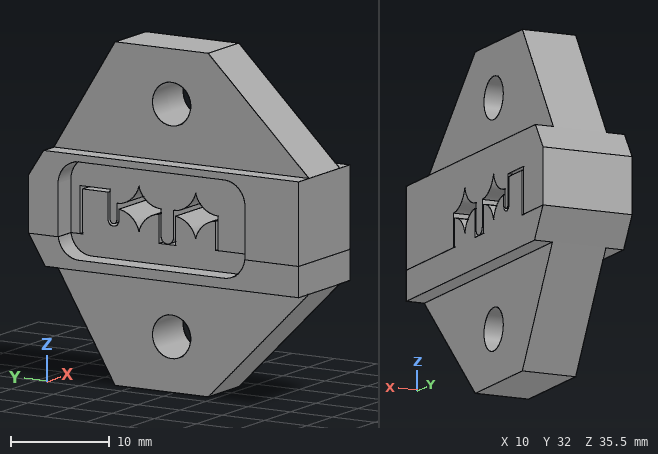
import cadquery as cq


block_width = 10.0
tab_width = 6.0
block_length = 32.0
block_top = 8.75
block_bottom = -3.23
overall_height = 35.5
upper_tab_top = 20.38
lower_tab_bottom = upper_tab_top - overall_height
upper_chamfer_start = 6.05
upper_shoulder = 30.2
lower_shoulder = 30.0
tab_end_front = 11.93
tab_end_back = 22.97

hole_diameter = 4.5
hole_y = 16.25
upper_hole_z = 14.65
lower_hole_z = -9.37

recess_front = 6.35
recess_back = 28.47
recess_bottom = -2.15
recess_top = 8.0
recess_radius = 2.5
recess_depth = 2.5

star_pitch = 6.7
front_star_y = 13.7
back_star_y = front_star_y + star_pitch
star_z = 3.3
star_half_height = 2.35
star_corner_rise = 0.3
star_arc_radius = 2.77
upper_star_half_width = 2.63
side_clearance = 0.25
lower_star_half_width = upper_star_half_width - side_clearance

socket_back = 27.4
socket_front = 23.82
socket_roof = 4.97
post_clearance = 0.32
post_back = socket_back - post_clearance
post_front = socket_front + side_clearance
post_top = socket_roof - post_clearance

back_finger_center_z = 1.85

finger_tip_clearance = 0.05


def extrude_centred(sketch, width):
    """Extrude a YZ sketch symmetrically about X = 0."""
    return sketch.extrude(width / 2, both=True)


def polygon_plate(points, width):
    return extrude_centred(cq.Workplane("YZ").polyline(points).close(), width)


def mounting_hole(z):
    return extrude_centred(cq.Workplane("YZ").center(hole_y, z).circle(hole_diameter / 2), block_width)


def recess():
    length = recess_back - recess_front
    height = recess_top - recess_bottom
    return (
        cq.Workplane("YZ", origin=(-block_width / 2, 0, 0))
        .center((recess_front + recess_back) / 2, (recess_bottom + recess_top) / 2)
        .rect(length, height)
        .extrude(recess_depth)
        .edges("|X")
        .fillet(recess_radius)
    )


def add_star_half(path, star_y, half_width, side):
    """Add two concave arcs from back to front: side +1 is the upper half, -1 the lower half."""
    corner_z = star_z + side * star_corner_rise
    cusp_z = star_z + side * star_half_height
    bulge = side * star_arc_radius
    return (
        path.lineTo(star_y + half_width, corner_z)
        .radiusArc((star_y, cusp_z), bulge)
        .radiusArc((star_y - half_width, corner_z), bulge)
    )


def upper_cavity():
    """Opening in the upper die, bounded by its socket, fingers and upper star halves."""
    back_finger_front = back_star_y + upper_star_half_width
    back_finger_radius = (socket_front - back_finger_front) / 2
    front_finger_back = back_star_y - upper_star_half_width
    front_finger_front = front_star_y + upper_star_half_width
    front_finger_radius = (front_finger_back - front_finger_front) / 2
    front_finger_center_z = finger_tip_clearance + front_finger_radius
    path = (
        cq.Workplane("YZ")
        .moveTo(socket_back, 0)
        .lineTo(socket_back, socket_roof)
        .lineTo(socket_front, socket_roof)
        .lineTo(socket_front, back_finger_center_z)
        .threePointArc(
            (socket_front - back_finger_radius, back_finger_center_z - back_finger_radius),
            (back_finger_front, back_finger_center_z),
        )
    )
    path = add_star_half(path, back_star_y, upper_star_half_width, 1)
    path = path.lineTo(front_finger_back, front_finger_center_z).threePointArc(
        (front_finger_back - front_finger_radius, finger_tip_clearance),
        (front_finger_front, front_finger_center_z),
    )
    path = add_star_half(path, front_star_y, upper_star_half_width, 1)
    path = path.lineTo(front_star_y - upper_star_half_width, 0).close()
    return extrude_centred(path, block_width)


def back_punch():
    """Guide post and back lower star half, separated by a round-bottomed slot."""
    slot_front = back_star_y + lower_star_half_width
    slot_radius = (post_front - slot_front) / 2
    path = (
        cq.Workplane("YZ")
        .moveTo(post_back, block_bottom)
        .lineTo(post_back, post_top)
        .lineTo(post_front, post_top)
        .lineTo(post_front, back_finger_center_z)
        .threePointArc(
            (post_front - slot_radius, back_finger_center_z - slot_radius),
            (slot_front, back_finger_center_z),
        )
    )
    path = add_star_half(path, back_star_y, lower_star_half_width, -1)
    path = path.lineTo(back_star_y - lower_star_half_width, block_bottom).close()
    return extrude_centred(path, block_width)


def front_punch():
    """Front lower star half."""
    path = cq.Workplane("YZ").moveTo(front_star_y + lower_star_half_width, block_bottom)
    path = add_star_half(path, front_star_y, lower_star_half_width, -1)
    path = path.lineTo(front_star_y - lower_star_half_width, block_bottom).close()
    return extrude_centred(path, block_width)


def make_upper_die():
    block = polygon_plate(
        [
            (0, 0),
            (block_length, 0),
            (block_length, upper_chamfer_start),
            (upper_shoulder, block_top),
            (0, block_top),
        ],
        block_width,
    )
    tab = polygon_plate(
        [
            (0, block_top),
            (upper_shoulder, block_top),
            (tab_end_back, upper_tab_top),
            (tab_end_front, upper_tab_top),
        ],
        tab_width,
    )
    return block.union(tab).cut(mounting_hole(upper_hole_z)).cut(upper_cavity()).cut(recess())


def make_lower_die():
    block = polygon_plate(
        [
            (0, 0),
            (block_length, 0),
            (lower_shoulder, block_bottom),
            (0, block_bottom),
        ],
        block_width,
    )
    tab = polygon_plate(
        [
            (0, block_bottom),
            (lower_shoulder, block_bottom),
            (tab_end_back, lower_tab_bottom),
            (tab_end_front, lower_tab_bottom),
        ],
        tab_width,
    )
    die = block.union(tab).union(back_punch()).union(front_punch())
    return die.cut(mounting_hole(lower_hole_z)).cut(recess())


upper_die = make_upper_die().solids()
lower_die = make_lower_die().solids()
result = cq.Compound.makeCompound([upper_die.val(), lower_die.val()])